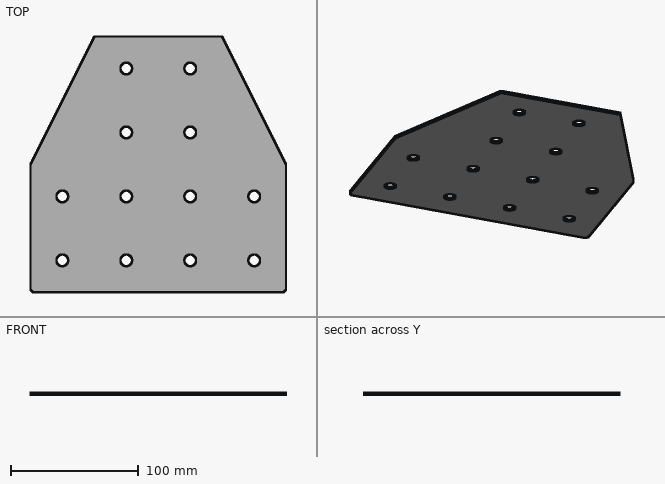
import cadquery as cq

width = 200.0
depth = 200.0
thickness = 2.0
top_width = 100.0
straight_height = 100.0
corner_chamfer = 2.0

hole_diameter = 9.0
hole_pitch = 50.0
holes_per_row = (4, 4, 2, 2)


def make_plate():
    """House-shaped plate: rectangle below, tapering to a narrower top edge."""
    half_width = width / 2
    half_depth = depth / 2
    shoulder_y = straight_height - half_depth
    plate = (
        cq.Workplane("XY")
        .moveTo(-half_width, -half_depth)
        .lineTo(half_width, -half_depth)
        .lineTo(half_width, shoulder_y)
        .lineTo(top_width / 2, half_depth)
        .lineTo(-top_width / 2, half_depth)
        .lineTo(-half_width, shoulder_y)
        .close()
        .extrude(thickness)
    )
    bottom_corners = plate.faces("<Y").edges("|Z")
    return bottom_corners.chamfer(corner_chamfer)


def hole_centers():
    """Square-pitch hole positions, with the grid centred on the plate."""
    first_row_y = -(len(holes_per_row) - 1) * hole_pitch / 2
    centers = []
    for row, count in enumerate(holes_per_row):
        first_x = -(count - 1) * hole_pitch / 2
        y = first_row_y + row * hole_pitch
        for column in range(count):
            centers.append((first_x + column * hole_pitch, y))
    return centers


def drill_holes(plate):
    """Cut every through hole in the plate."""
    cutters = (
        cq.Workplane("XY")
        .pushPoints(hole_centers())
        .circle(hole_diameter / 2)
        .extrude(thickness)
    )
    return plate.cut(cutters)


result = drill_holes(make_plate())